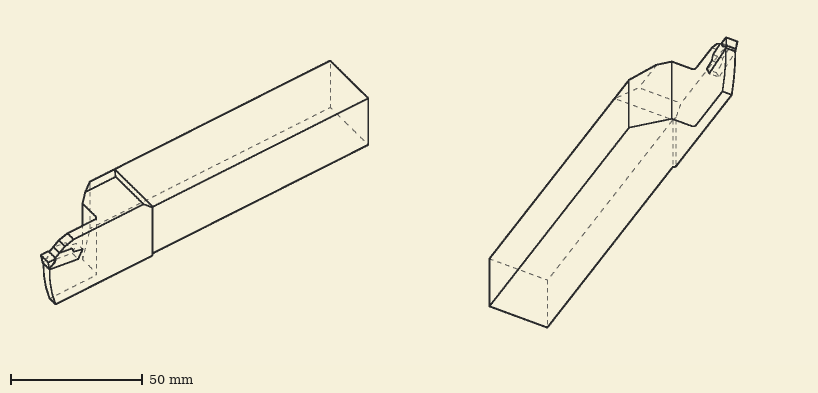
import cadquery as cq

overall_length = 151.0
shank_size = 25.0
head_height = 30.0
overall_width = 26.5

tip_width = 5.0
blade_thickness = 4.1
tip_overhang = (tip_width - blade_thickness) / 2
tip_back_y = 3.6
tip_arc_mid = (2.7, 22.5)
tip_bottom_z = 21.3
cutting_edge_z = shank_size
ramp_foot = (3.6, cutting_edge_z)
ramp_top = (5.6, 26.6)
shelf_back = (11.3, 25.7)
step_foot = (12.4, 23.4)
rear_top = (16.5, 22.3)
rear_bottom = (14.3, 18.3)
insert_bottom_front = (0.9, 20.4)
tip_bottom_front = (0.5, tip_bottom_z)
land_bottom = (0.3, 23.3)

head_right_x = overall_width - tip_overhang
blade_left_x = head_right_x - blade_thickness
head_back_y = 50.0
head_ramp_length = head_height - shank_size
side_bevel_width = 7.7
corner_cut = 12.1
shoulder_y = 26.3
shoulder_fillet = 1.2
blade_top_end_y = 12.2
blade_top_break = (8.2, 28.7)
blade_front_mid = (1.5, 10.5)
blade_bottom_front = (3.8, 0.0)


def side_sketch(x):
    """Sketch plane at the given X, with local coordinates (Y, Z), extruding toward +X."""
    return cq.Workplane("YZ", origin=(x, 0, 0))


def make_insert_core():
    """Flat insert, as thick as the blade, with a stepped rear end."""
    return (
        side_sketch(blade_left_x)
        .moveTo(0, cutting_edge_z)
        .lineTo(*ramp_foot)
        .lineTo(*ramp_top)
        .lineTo(*shelf_back)
        .lineTo(*step_foot)
        .lineTo(*rear_top)
        .lineTo(*rear_bottom)
        .lineTo(*insert_bottom_front)
        .lineTo(*tip_bottom_front)
        .lineTo(*land_bottom)
        .close()
        .extrude(blade_thickness)
    )


def make_insert_tip():
    """Widened cutting tip, whose sides taper inward below the cutting edge."""
    tip = (
        side_sketch(overall_width - tip_width)
        .moveTo(0, cutting_edge_z)
        .lineTo(tip_back_y, cutting_edge_z)
        .threePointArc(tip_arc_mid, tip_bottom_front)
        .lineTo(*land_bottom)
        .close()
        .extrude(tip_width)
    )
    taper = (
        cq.Workplane("XZ")
        .polyline([
            (overall_width - tip_width, cutting_edge_z),
            (overall_width, cutting_edge_z),
            (head_right_x, tip_bottom_z),
            (blade_left_x, tip_bottom_z),
        ])
        .close()
        .extrude(-ramp_top[0])
    )
    return tip.intersect(taper)


def make_shank():
    return cq.Workplane("XY").box(
        shank_size, overall_length - head_back_y, shank_size, centered=False
    ).translate((0, head_back_y, 0))


def make_head():
    """Raised head narrowing to the blade, as the overlap of its plan and side outlines."""
    back_bevel = head_right_x - shank_size
    plan = (
        cq.Workplane("XY")
        .moveTo(0, head_back_y)
        .lineTo(shank_size, head_back_y)
        .lineTo(head_right_x, head_back_y - back_bevel)
        .lineTo(head_right_x, 0)
        .lineTo(blade_left_x, 0)
        .lineTo(blade_left_x, shoulder_y - shoulder_fillet)
        .radiusArc((blade_left_x - shoulder_fillet, shoulder_y), -shoulder_fillet)
        .lineTo(corner_cut, shoulder_y)
        .lineTo(0, shoulder_y + corner_cut)
        .close()
        .extrude(head_height)
    )
    side = (
        side_sketch(0)
        .moveTo(head_back_y, 0)
        .lineTo(head_back_y, shank_size)
        .lineTo(head_back_y - head_ramp_length, head_height)
        .lineTo(blade_top_end_y, head_height)
        .lineTo(*blade_top_break)
        .lineTo(*ramp_top)
        .lineTo(insert_bottom_front[0], ramp_top[1])
        .lineTo(*insert_bottom_front)
        .threePointArc(blade_front_mid, blade_bottom_front)
        .close()
        .extrude(overall_width)
    )
    return plan.intersect(side)


def make_side_bevel_cutter():
    """Wedge removed from the upper left edge of the head."""
    return (
        cq.Workplane("XZ")
        .polyline([(0, shank_size), (side_bevel_width, head_height), (0, head_height)])
        .close()
        .extrude(-head_back_y)
    )


def make_pocket_cutter(insert):
    """Insert shape plus the open space above its ramp and cutting edge."""
    clearance = (
        side_sketch(0)
        .polyline([(0, cutting_edge_z), ramp_foot, ramp_top, (0, ramp_top[1])])
        .close()
        .extrude(overall_width)
    )
    return insert.union(clearance)


insert = make_insert_core().union(make_insert_tip())
holder = make_shank().union(make_head())
holder = holder.cut(make_side_bevel_cutter()).cut(make_pocket_cutter(insert))

result = cq.Compound.makeCompound([holder.solids().val(), insert.solids().val()])